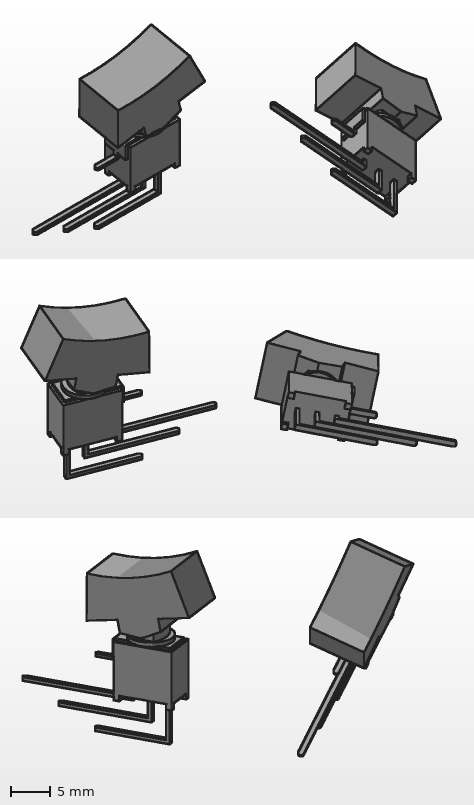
import cadquery as cq
import math

body_length = 8.15
body_width = 5.05
body_top = 7.98
foot_length = 0.78
foot_width = 0.75
foot_height = 0.75

pin_count = 3
pin_width = 0.75
pin_thickness = 0.5
pin_pitch = 2.55
pin_reach_step = 2 * pin_pitch
middle_pin_y = -0.05
first_pin_z = -0.25
longest_pin_tip_y = -18.08
tip_height = 0.35
pin_embed = 0.25

bracket_width = 4.05
bracket_thickness = 0.4
bracket_top = 8.3
bracket_back_y = 3.65
bracket_flap_bottom = 5.68
tab_bottom = 4.6
tab_tip_y = -7.8

collar_diameter = 6.05
collar_top = 8.9
bushing_width = 4.7
bushing_flat_half = 1.5
bushing_crown_half = 2.2
bushing_top = 10.85

rocker_width = 7.63
rocker_tilt = 11.3
rocker_base_y = -0.05
rocker_base_z = 12.22
rocker_bottom_length = 14.72
rocker_bottom_half = rocker_bottom_length / 2
rocker_top_length = 12.1
rocker_top_half = rocker_top_length / 2
rocker_height = 6.35
rocker_dish = 0.75
neck_half = 2.93
neck_depth = 1.77
neck_point_height = 0.8
neck_point_depth = neck_depth + neck_point_height


def make_housing():
    """Block with two crossing channels underneath, leaving four corner feet."""
    block = cq.Workplane("XY").box(body_width, body_length, body_top, centered=(True, True, False))
    channel_y = body_length - 2 * foot_length
    channel_x = body_width - 2 * foot_width
    for size_x, size_y in ((body_width, channel_y), (channel_x, body_length)):
        channel = cq.Workplane("XY").box(size_x, size_y, foot_height, centered=(True, True, False))
        block = block.cut(channel)
    return block


def round_ended_bar(back_y, tip_y, bottom_z, thickness):
    """Flat bar along Y whose -Y end is a shallow arc."""
    half = pin_width / 2
    shoulder_y = tip_y + tip_height
    return (
        cq.Workplane("XY", origin=(0, 0, bottom_z))
        .moveTo(-half, back_y)
        .lineTo(-half, shoulder_y)
        .threePointArc((0, tip_y), (half, shoulder_y))
        .lineTo(half, back_y)
        .close()
        .extrude(thickness)
    )


def make_pin(index):
    """L-shaped terminal; index 0 is the longest, nearest the -Y side."""
    center_y = middle_pin_y + (index - 1) * pin_pitch
    bottom_z = first_pin_z - index * pin_pitch - pin_thickness / 2
    tip_y = longest_pin_tip_y + index * pin_reach_step
    leg_height = foot_height + pin_embed - bottom_z
    leg = (
        cq.Workplane("XY", origin=(0, center_y, bottom_z))
        .box(pin_width, pin_thickness, leg_height, centered=(True, True, False))
    )
    return leg.union(round_ended_bar(center_y, tip_y, bottom_z, pin_thickness))


def make_bracket():
    """Plate over the housing, bent down its -Y face and out again as a narrow tab."""
    inner_y = -body_length / 2
    outer_y = inner_y - bracket_thickness
    plate_bottom = bracket_top - bracket_thickness
    folded = (
        cq.Workplane("YZ")
        .moveTo(bracket_back_y, bracket_top)
        .lineTo(inner_y, bracket_top)
        .radiusArc((outer_y, plate_bottom), -bracket_thickness)
        .lineTo(outer_y, bracket_flap_bottom)
        .lineTo(inner_y, bracket_flap_bottom)
        .lineTo(inner_y, plate_bottom)
        .lineTo(bracket_back_y, plate_bottom)
        .close()
        .extrude(bracket_width / 2, both=True)
    )
    tab_top = tab_bottom + bracket_thickness
    bend = (
        cq.Workplane("YZ")
        .moveTo(inner_y, bracket_flap_bottom)
        .lineTo(inner_y, tab_top)
        .radiusArc((outer_y, tab_bottom), bracket_thickness)
        .lineTo(outer_y, bracket_flap_bottom)
        .close()
        .extrude(pin_width / 2, both=True)
    )
    tab = round_ended_bar(outer_y, tab_tip_y, tab_bottom, bracket_thickness)
    return folded.union(bend).union(tab)


def make_bushing():
    """Round collar carrying a bushing with flat X sides and bowed Y ends."""
    collar = (
        cq.Workplane("XY", origin=(0, 0, bracket_top))
        .circle(collar_diameter / 2)
        .extrude(collar_top - bracket_top)
    )
    half = bushing_width / 2
    post = (
        cq.Workplane("XY", origin=(0, 0, bracket_top))
        .moveTo(-half, -bushing_flat_half)
        .threePointArc((0, -bushing_crown_half), (half, -bushing_flat_half))
        .lineTo(half, bushing_flat_half)
        .threePointArc((0, bushing_crown_half), (-half, bushing_flat_half))
        .close()
        .extrude(bushing_top - bracket_top)
    )
    return collar.union(post)


def rocker_point(along, up):
    """Turn a point of the upright rocker profile into tilted (y, z)."""
    angle = math.radians(rocker_tilt)
    y = rocker_base_y + along * math.cos(angle) - up * math.sin(angle)
    z = rocker_base_z + along * math.sin(angle) + up * math.cos(angle)
    return y, z


def make_rocker():
    """Tilted paddle with a dished top and a pointed neck below."""
    return (
        cq.Workplane("YZ")
        .moveTo(*rocker_point(-rocker_top_half, rocker_height))
        .threePointArc(
            rocker_point(0, rocker_height - rocker_dish),
            rocker_point(rocker_top_half, rocker_height),
        )
        .lineTo(*rocker_point(rocker_bottom_half, 0))
        .lineTo(*rocker_point(neck_half, 0))
        .lineTo(*rocker_point(neck_half, -neck_depth))
        .lineTo(*rocker_point(0, -neck_point_depth))
        .lineTo(*rocker_point(-neck_half, -neck_depth))
        .lineTo(*rocker_point(-neck_half, 0))
        .lineTo(*rocker_point(-rocker_bottom_half, 0))
        .close()
        .extrude(rocker_width / 2, both=True)
    )


result = make_housing().union(make_bracket()).union(make_bushing()).union(make_rocker())
for pin_index in range(pin_count):
    result = result.union(make_pin(pin_index))